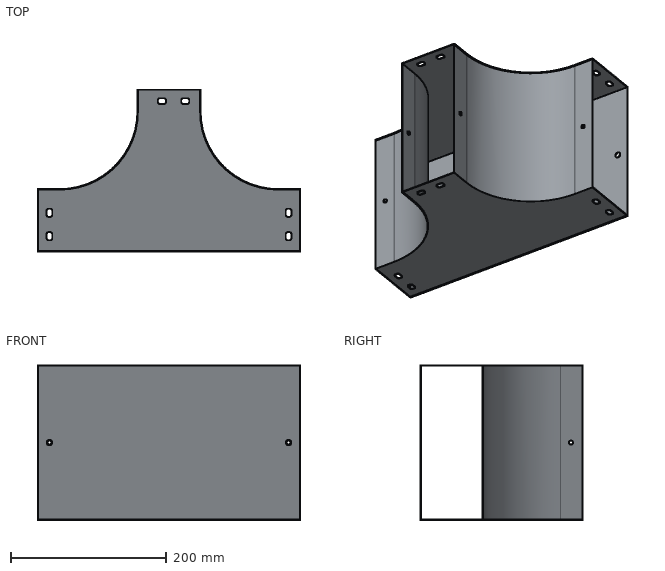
import cadquery as cq

length = 338.0
depth = 209.0
height = 200.0
sheet = 1.0

arm_width = 80.8
stem_width = 81.8
bend_radius = 99.7

end_distance = 15.0
front_hole_diameter = 7.0
wall_hole_diameter = 5.0
slot_length = 10.0
slot_width = 7.0
slot_corner_radius = 2.5
slot_offsets = (20.0, 50.0)

half_length = length / 2
mid_height = height / 2


def tee_block(inset, overrun, block_height):
    """Solid tee with its side faces moved in by inset and its ends moved out by overrun."""
    end_x = half_length + overrun
    end_y = depth + overrun
    stem_x = stem_width / 2 - inset
    arm_y = arm_width - inset
    radius = bend_radius + inset
    bend_x = stem_x + radius
    bend_y = arm_y + radius
    mid_reach = radius * (1 - 0.5**0.5)
    mid_x = stem_x + mid_reach
    mid_y = arm_y + mid_reach
    return (
        cq.Workplane("XY")
        .moveTo(-end_x, inset)
        .lineTo(end_x, inset)
        .lineTo(end_x, arm_y)
        .lineTo(bend_x, arm_y)
        .threePointArc((mid_x, mid_y), (stem_x, bend_y))
        .lineTo(stem_x, end_y)
        .lineTo(-stem_x, end_y)
        .lineTo(-stem_x, bend_y)
        .threePointArc((-mid_x, mid_y), (-bend_x, arm_y))
        .lineTo(-end_x, arm_y)
        .close()
        .extrude(block_height)
    )


def slot_cutter(x, y, size_x, size_y):
    """Round-cornered slot through both the top and bottom plates."""
    blank = cq.Workplane("XY").center(x, y).rect(size_x, size_y).extrude(height)
    return blank.edges("|Z").fillet(slot_corner_radius)


inner_height = height - 2 * sheet
cavity = tee_block(sheet, sheet, inner_height).translate((0, 0, sheet))
duct = tee_block(0, 0, height).cut(cavity)

hole_x = half_length - end_distance
hole_y = depth - end_distance
for offset in slot_offsets:
    duct = duct.cut(slot_cutter(-hole_x, offset, slot_width, slot_length))
    duct = duct.cut(slot_cutter(hole_x, offset, slot_width, slot_length))
    duct = duct.cut(slot_cutter(stem_width / 2 - offset, hole_y, slot_length, slot_width))

for x in (-hole_x, hole_x):
    wall_hole = cq.Solid.makeCylinder(
        wall_hole_diameter / 2, arm_width, cq.Vector(x, 0, mid_height), cq.Vector(0, 1, 0)
    )
    front_hole = cq.Solid.makeCylinder(
        front_hole_diameter / 2, sheet, cq.Vector(x, 0, mid_height), cq.Vector(0, 1, 0)
    )
    duct = duct.cut(cq.Workplane(wall_hole)).cut(cq.Workplane(front_hole))

stem_hole = cq.Solid.makeCylinder(
    wall_hole_diameter / 2,
    stem_width,
    cq.Vector(-stem_width / 2, hole_y, mid_height),
    cq.Vector(1, 0, 0),
)
result = duct.cut(cq.Workplane(stem_hole))